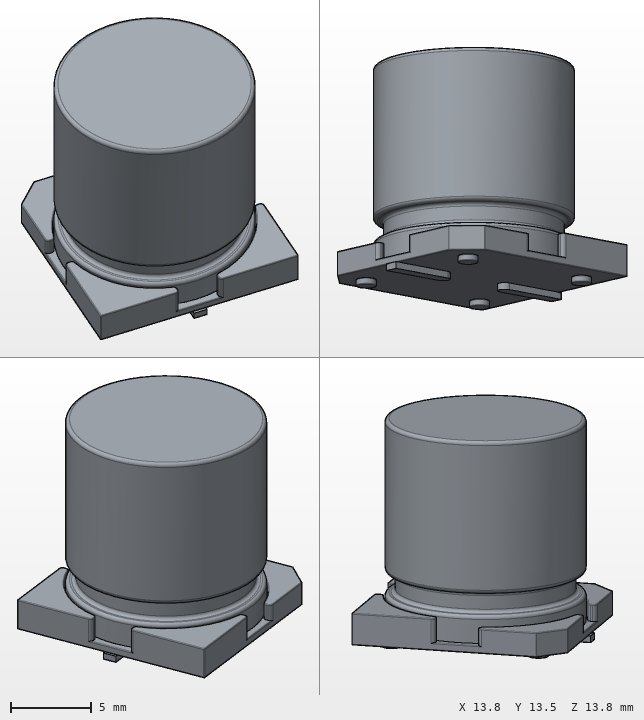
import cadquery as cq

TOTAL_HEIGHT = 13.8
LEAD_SPAN = 13.8

CAN_DIAMETER = 12.5
NECK_DIAMETER = 11.25
CAN_FILLET = 0.25
NECK_BOTTOM = 2.69
NECK_TOP = 4.06

BASE_SIZE = 13.5
BASE_BOTTOM = 0.43
FLOOR_TOP = 0.91
LOW_CORNER_TOP = 1.99
HIGH_CORNER_TOP = 2.45
CORNER_CHAMFER = 1.59
EDGE_FILLET = 0.05

SLOT_HALF_WIDTH = 1.38
SLOT_FILLET = 0.23
POCKET_CLEARANCE = 0.1

LEAD_WIDTH = 0.9
LEAD_LENGTH = 4.77
FOOT_DIAMETER = 1.25
FOOT_OFFSET = 4.73

CAN_RADIUS = CAN_DIAMETER / 2
NECK_RADIUS = NECK_DIAMETER / 2
POCKET_RADIUS = CAN_RADIUS + POCKET_CLEARANCE
HALF_BASE = BASE_SIZE / 2
BLOCK_ROOT = (BASE_BOTTOM + FLOOR_TOP) / 2


def make_can():
    """Revolved can with a necked groove and rounded shoulders."""
    profile = (
        cq.Workplane("XZ")
        .moveTo(0, FLOOR_TOP)
        .lineTo(CAN_RADIUS, FLOOR_TOP)
        .lineTo(CAN_RADIUS, NECK_BOTTOM)
        .lineTo(NECK_RADIUS, NECK_BOTTOM)
        .lineTo(NECK_RADIUS, NECK_TOP)
        .lineTo(CAN_RADIUS, NECK_TOP)
        .lineTo(CAN_RADIUS, TOTAL_HEIGHT)
        .lineTo(0, TOTAL_HEIGHT)
        .close()
    )
    can = profile.revolve(360, (0, 0, 0), (0, 1, 0))
    rims = can.edges("%CIRCLE and (not <Z)")
    return rims.fillet(CAN_FILLET)


def make_plate(bottom, top):
    """Square plate with both -X corners cut off and every upright edge rounded."""
    return (
        cq.Workplane("XY", origin=(0, 0, bottom))
        .rect(BASE_SIZE, BASE_SIZE)
        .extrude(top - bottom)
        .edges("|Z and <X")
        .chamfer(CORNER_CHAMFER)
        .edges("|Z")
        .fillet(EDGE_FILLET)
    )


def make_corner(side_x, side_y, top):
    """Corner block hugging the can, with rounded ends at the two slots.

    It is rooted inside the base plate so that it covers the plate's rounded top edge.
    """
    height = top - BLOCK_ROOT
    arm = HALF_BASE - SLOT_HALF_WIDTH
    middle = SLOT_HALF_WIDTH + arm / 2
    quadrant = (
        cq.Workplane("XY", origin=(side_x * middle, side_y * middle, BLOCK_ROOT))
        .rect(arm, arm)
        .extrude(height)
    )
    pocket = cq.Workplane("XY", origin=(0, 0, BLOCK_ROOT)).circle(POCKET_RADIUS).extrude(height)
    block = make_plate(BLOCK_ROOT, top).intersect(quadrant).cut(pocket)
    for axis, side in (("X", side_x), ("Y", side_y)):
        slot_end = f"<{axis}" if side > 0 else f">{axis}"
        block = block.edges("|Z").edges(slot_end).fillet(SLOT_FILLET)
    return block.faces(">Z").edges().fillet(EDGE_FILLET)


def make_base():
    """Base plate carrying low blocks on the -X side and high blocks on the +X side."""
    base = make_plate(BASE_BOTTOM, FLOOR_TOP).faces("<Z or >Z").edges().fillet(EDGE_FILLET)
    for side_x, corner_top in ((-1, LOW_CORNER_TOP), (1, HIGH_CORNER_TOP)):
        for side_y in (-1, 1):
            base = base.union(make_corner(side_x, side_y, corner_top))
    return base


def make_lead(side_x):
    """Flat lead lying along X, with its inner end fully rounded."""
    inner_end = LEAD_SPAN / 2 - LEAD_LENGTH
    round_center = inner_end + LEAD_WIDTH / 2
    outer_end = LEAD_SPAN / 2
    half_width = LEAD_WIDTH / 2
    return (
        cq.Workplane("XY")
        .moveTo(side_x * outer_end, -half_width)
        .lineTo(side_x * round_center, -half_width)
        .threePointArc((side_x * inner_end, 0), (side_x * round_center, half_width))
        .lineTo(side_x * outer_end, half_width)
        .close()
        .extrude(BASE_BOTTOM)
    )


def make_feet():
    """Four round feet with rounded rims under the corners of the base."""
    return (
        cq.Workplane("XY")
        .rect(2 * FOOT_OFFSET, 2 * FOOT_OFFSET, forConstruction=True)
        .vertices()
        .circle(FOOT_DIAMETER / 2)
        .extrude(BASE_BOTTOM)
        .faces("<Z or >Z")
        .edges()
        .fillet(EDGE_FILLET)
    )


result = make_base().union(make_can()).union(make_feet())
for side_x in (-1, 1):
    result = result.union(make_lead(side_x))